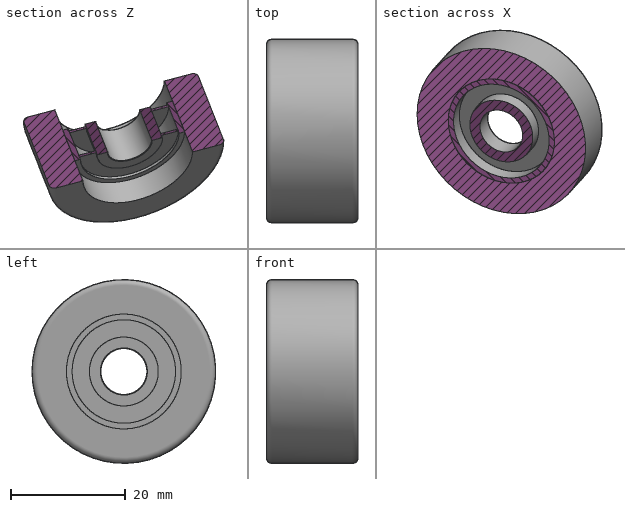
import cadquery as cq

wheel_diameter = 32.0
wheel_width = wheel_diameter / 2
rim_radius = 1.0
seat_diameter = 20.0

bearing_recess = 4.5
bearing_width = wheel_width - 2 * bearing_recess
outer_ring_bore = 18.0
inner_ring_diameter = 12.0
bore_diameter = 8.0
bore_chamfer = 0.1
shield_recess = 0.5
shield_thickness = 0.5


def tube(outer_diameter, inner_diameter, width, center_x=0.0):
    """Plain ring around the X axis, centred at center_x."""
    return (
        cq.Workplane("YZ", origin=(center_x - width / 2, 0, 0))
        .circle(outer_diameter / 2)
        .circle(inner_diameter / 2)
        .extrude(width)
    )


def make_wheel():
    """Roller with rounded outer edges and a straight bore that seats the bearing."""
    roller = tube(wheel_diameter, seat_diameter, wheel_width)
    rim_edges = roller.edges(cq.selectors.RadiusNthSelector(-1))
    return rim_edges.fillet(rim_radius)


def make_outer_ring():
    """Outer bearing ring, a press fit in the wheel."""
    return tube(seat_diameter, outer_ring_bore, bearing_width)


def make_inner_ring():
    """Inner bearing ring, level with the outer ring, with both bore edges chamfered."""
    ring = tube(inner_ring_diameter, bore_diameter, bearing_width)
    bore_edges = ring.edges(cq.selectors.RadiusNthSelector(0))
    return bore_edges.chamfer(bore_chamfer)


def make_shield(side):
    """Washer closing the gap between the rings, set in from their ends; side is -1 or 1 along X."""
    center_x = side * (bearing_width / 2 - shield_recess - shield_thickness / 2)
    return tube(outer_ring_bore, inner_ring_diameter, shield_thickness, center_x)


wheel = make_wheel()
outer_ring = make_outer_ring()
inner_ring = make_inner_ring()
shields = [make_shield(side) for side in (-1, 1)]

result = cq.Compound.makeCompound(
    [
        wheel.val(),
        outer_ring.val(),
        inner_ring.val(),
        *[shield.val() for shield in shields],
    ]
)